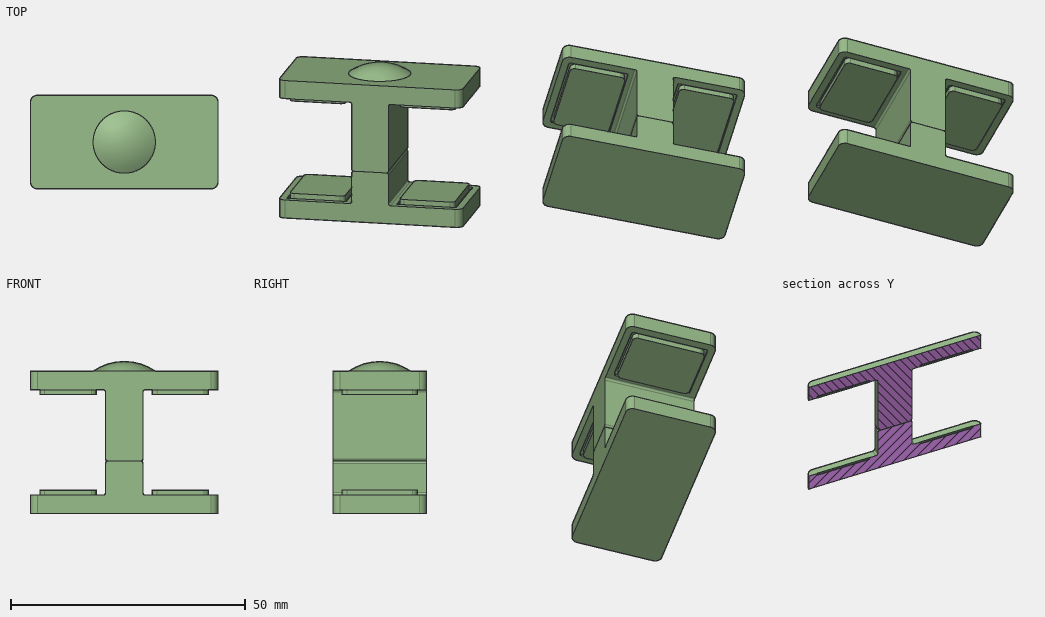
import cadquery as cq

length = 40.0
width = 20.0
plate_thickness = 4.0
plate_corner_radius = 1.5
stem_width = 8.0
stem_edge_radius = 0.5
parting_height = 11.2
plates_top = 30.35

pad_length = 12.0
pad_width = 16.0
pad_corner_radius = 1.0
pad_end_margin = 2.05
pad_exposed = 1.0
pocket_depth = 0.5
pocket_clearance = 0.5
pocket_corner_radius = 0.5
pad_offset = length / 2 - pad_end_margin - pad_length / 2
lower_pad_base = plate_thickness - pocket_depth
pad_height = pocket_depth + pad_exposed
upper_pad_base = plates_top - plate_thickness - pad_exposed

overall_height = 32.45
dome_diameter = 13.3
dome_height = overall_height - plates_top
dome_radius = ((dome_diameter / 2) ** 2 + dome_height**2) / (2 * dome_height)


def make_frame(frame_height):
    """T-shaped frame with its plate on z = 0 and its stem pointing up, pockets open upward."""
    plate = cq.Workplane("XY").box(length, width, plate_thickness, centered=(True, True, False))
    stem = cq.Workplane("XY").box(stem_width, width, frame_height, centered=(True, True, False))
    stem = stem.edges("|Y and >Z").fillet(stem_edge_radius)
    frame = plate.edges("|Z").fillet(plate_corner_radius).union(stem)

    for side in (-1, 1):
        inner_corner = (side * stem_width / 2, 0, plate_thickness)
        frame = frame.edges(cq.selectors.NearestToPointSelector(inner_corner)).fillet(stem_edge_radius)

    pockets = (
        cq.Workplane("XY", origin=(0, 0, plate_thickness - pocket_depth))
        .pushPoints([(-pad_offset, 0), (pad_offset, 0)])
        .rect(pad_length + 2 * pocket_clearance, pad_width + 2 * pocket_clearance)
        .extrude(pocket_depth)
        .edges("|Z")
        .fillet(pocket_corner_radius)
    )
    return frame.cut(pockets)


def make_pad(center_x, base_height):
    """Rounded rectangular pad standing on base_height."""
    pad = cq.Workplane("XY").box(pad_length, pad_width, pad_height, centered=(True, True, False))
    return pad.edges("|Z").fillet(pad_corner_radius).translate((center_x, 0, base_height))


def make_dome():
    """Part of a sphere that stands above the upper plate."""
    sphere = cq.Workplane("XZ").sphere(dome_radius).translate((0, 0, overall_height - dome_radius))
    space_above_plate = cq.Workplane("XY", origin=(0, 0, plates_top)).rect(length, width).extrude(dome_radius)
    return sphere.intersect(space_above_plate)


lower_frame = make_frame(parting_height)
upper_frame = (
    make_frame(plates_top - parting_height)
    .rotate((0, 0, 0), (1, 0, 0), 180)
    .translate((0, 0, plates_top))
)
pads = [
    make_pad(center_x, base_height)
    for base_height in (lower_pad_base, upper_pad_base)
    for center_x in (-pad_offset, pad_offset)
]
dome = make_dome()

result = cq.Compound.makeCompound(
    [lower_frame.val(), upper_frame.val(), *[pad.val() for pad in pads], dome.val()]
)